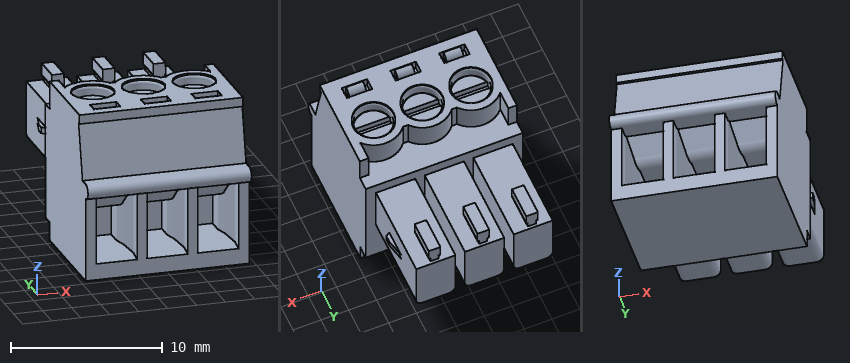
import cadquery as cq
import math


width = 11.3
length = 16.21
height = 11.2
pitch = 3.5
way_centres = [-pitch, 0, pitch]

front_y = 0.55
rear_y = 9.55
upper_rear_y = 8.58
ledge_z = 9.27
lower_rear_y = 8.64
lower_step_z = 1.26
nose_radius = 0.52
nose_z = 6.3
nose_bottom_z = nose_z - nose_radius
nose_top_z = nose_z + nose_radius
slope_foot_y = 1.23
slope_head_y = 2.1
lip_y = 1.91
lip_z = 10.57

scallop_radius = 2.03
scallop_valley_y = 7.16
wing_inner_x = 5.03

screw_y = 5.88
screw_radius = 1.33
screw_crown_radius = 1.17
screw_crown_depth = 0.71
screw_edge_round = screw_radius - screw_crown_radius
rim_radius = 1.45
rim_depth = 0.11
rim_round_depth = 0.35
rim_bulge = 0.03
rim_middle_depth = 0.18
driver_slot_width = 0.52
driver_slot_depth = 0.52

pocket_width = 1.82
pocket_front_y = 2.72
pocket_rear_y = 3.58
pocket_depth = 0.7
bump_width = 1.22
bump_radius = 0.62

entry_half_width = 1.41
waist_half_width = 1.07
bore_half_width = 0.85
funnel_y = 1.36
roof_slope_y = 1.55
waist_y = 2.48
bore_y = 3.35
entry_end_y = 4.54
entry_floor_z = 1.13
funnel_floor_z = 1.31
bore_floor_z = 1.55
waist_roof_z = 4.6
bore_roof_z = 4.1
roof_mid_y = 2.85
roof_mid_z = 4.23

plug_width = 2.82
plug_bottom_z = 4.25
plug_top_z = 8.41
plug_round = 0.49

key_front_y = 13.65
key_rear_y = 16.0
key_top_z = 9.66
key_half_width = 0.42
key_neck_half_width = 0.29
key_neck_z = 8.69
key_shoulder_z = 8.82

latch_bottom_z = 6.3
latch_top_z = 6.73
latch_height = 0.29
latch_tip_rear_y = 12.43
latch_tip_front_y = 11.91
latch_rear_y = 13.7
latch_front_y = 11.75


def along_x(profile, x_length):
    """Extrude a YZ profile by x_length, centred on X = 0."""
    return profile.extrude(x_length / 2, both=True)


def block(x_size, y_start, y_end, z_start, z_end):
    """Box centred on X = 0 between the given Y and Z limits."""
    return (
        cq.Workplane("XY", origin=(0, 0, z_start))
        .center(0, (y_start + y_end) / 2)
        .rect(x_size, y_end - y_start)
        .extrude(z_end - z_start)
    )


def make_housing():
    profile = (
        cq.Workplane("YZ")
        .moveTo(front_y, 0)
        .lineTo(lower_rear_y, 0)
        .lineTo(lower_rear_y, lower_step_z)
        .lineTo(rear_y, lower_step_z)
        .lineTo(rear_y, ledge_z)
        .lineTo(upper_rear_y, ledge_z)
        .lineTo(upper_rear_y, height)
        .lineTo(lip_y, height)
        .lineTo(lip_y, lip_z)
        .lineTo(slope_head_y, lip_z)
        .lineTo(slope_foot_y, nose_top_z)
        .lineTo(nose_radius, nose_top_z)
        .threePointArc((0, nose_z), (nose_radius, nose_bottom_z))
        .lineTo(front_y, nose_bottom_z)
        .close()
    )
    return along_x(profile, width)


def make_rear_recess():
    """Space behind the scalloped edge, between the two side wings."""
    top_height = height - ledge_z
    recess = block(2 * wing_inner_x, scallop_valley_y, upper_rear_y, ledge_z, height)
    collar = (
        cq.Workplane("XY", origin=(0, screw_y, ledge_z))
        .circle(scallop_radius)
        .extrude(top_height)
    )
    for x in way_centres:
        recess = recess.cut(collar.translate((x, 0, 0)))
    return recess


def make_screw_recess():
    """Bore above a round-edged, slotted screw head."""
    crown_z = -screw_crown_depth
    edge_middle = screw_edge_round * math.sqrt(0.5)
    bore = (
        cq.Workplane("XZ")
        .moveTo(0, crown_z)
        .lineTo(screw_crown_radius, crown_z)
        .threePointArc(
            (screw_crown_radius + edge_middle, crown_z - screw_edge_round + edge_middle),
            (screw_radius, crown_z - screw_edge_round),
        )
        .lineTo(screw_radius, -rim_round_depth)
        .threePointArc((screw_radius + rim_bulge, -rim_middle_depth), (rim_radius, -rim_depth))
        .lineTo(rim_radius, 0)
        .lineTo(0, 0)
        .close()
        .revolve(360, (0, 0, 0), (0, 1, 0))
    )
    slot_bottom_z = crown_z - driver_slot_depth
    slot = block(2 * screw_radius, -driver_slot_width / 2, driver_slot_width / 2, slot_bottom_z, crown_z)
    head = (
        cq.Workplane("XY", origin=(0, 0, slot_bottom_z))
        .circle(screw_radius)
        .extrude(driver_slot_depth)
    )
    return bore.union(slot.intersect(head)).translate((0, screw_y, height))


def make_probe_pocket():
    """Rectangular pocket with a quarter-round bump against its front wall."""
    floor_z = height - pocket_depth
    pocket = block(pocket_width, pocket_front_y, pocket_rear_y, floor_z, height)
    bump = along_x(
        cq.Workplane("YZ").center(pocket_front_y, floor_z).circle(bump_radius),
        bump_width,
    )
    return pocket.cut(bump)


def make_wire_entry():
    """Funnel where a side profile and a plan profile overlap."""
    side = along_x(
        cq.Workplane("YZ")
        .moveTo(front_y, entry_floor_z)
        .lineTo(funnel_y, funnel_floor_z)
        .lineTo(waist_y, bore_floor_z)
        .lineTo(entry_end_y, bore_floor_z)
        .lineTo(entry_end_y, bore_roof_z)
        .lineTo(bore_y, bore_roof_z)
        .threePointArc((roof_mid_y, roof_mid_z), (waist_y, waist_roof_z))
        .lineTo(roof_slope_y, nose_bottom_z)
        .lineTo(front_y, nose_bottom_z)
        .close(),
        2 * entry_half_width,
    )
    half_plan = [
        (entry_half_width, front_y),
        (entry_half_width, funnel_y),
        (waist_half_width, waist_y),
        (bore_half_width, bore_y),
        (bore_half_width, entry_end_y),
    ]
    mirrored_plan = [(-x, y) for x, y in reversed(half_plan)]
    plan = cq.Workplane("XY").polyline(half_plan + mirrored_plan).close().extrude(nose_bottom_z)
    return side.intersect(plan)


def make_plug():
    body = block(plug_width, rear_y, length, plug_bottom_z, plug_top_z)
    body = body.edges("|Y and <Z").fillet(plug_round)
    half_key = [
        (key_neck_half_width, plug_top_z),
        (key_neck_half_width, key_neck_z),
        (key_half_width, key_shoulder_z),
        (key_half_width, key_top_z),
    ]
    mirrored_key = [(-x, z) for x, z in reversed(half_key)]
    key = (
        cq.Workplane("XZ", origin=(0, key_rear_y, 0))
        .polyline(half_key + mirrored_key)
        .close()
        .extrude(key_rear_y - key_front_y)
    )
    return body.union(key)


def make_latch():
    """Ramped latch on the +X side of the outermost plug."""
    root_x = pitch + plug_width / 2
    tip_x = root_x + latch_height
    return (
        cq.Workplane("XY", origin=(0, 0, latch_bottom_z))
        .moveTo(root_x, latch_front_y)
        .lineTo(tip_x, latch_tip_front_y)
        .lineTo(tip_x, latch_tip_rear_y)
        .lineTo(root_x, latch_rear_y)
        .close()
        .extrude(latch_top_z - latch_bottom_z)
    )


result = make_housing().cut(make_rear_recess())

screw_recess = make_screw_recess()
probe_pocket = make_probe_pocket()
wire_entry = make_wire_entry()
plug = make_plug()
for x in way_centres:
    for cavity in (screw_recess, probe_pocket, wire_entry):
        result = result.cut(cavity.translate((x, 0, 0)))
    result = result.union(plug.translate((x, 0, 0)))

latch = make_latch()
result = result.union(latch).union(latch.mirror("YZ"))